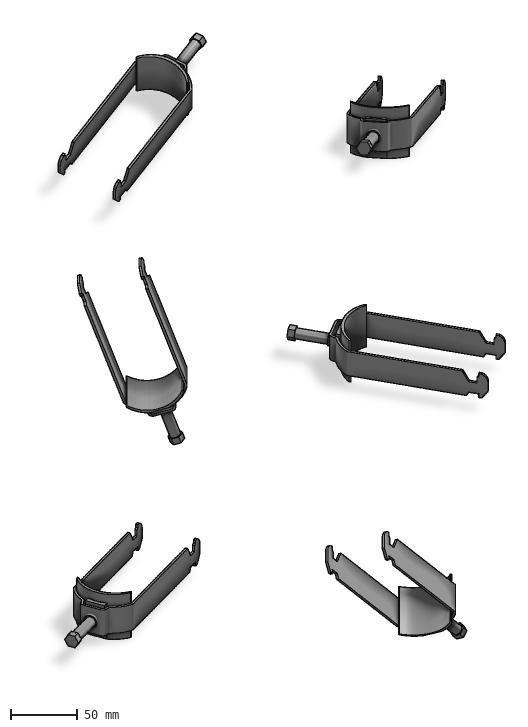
import cadquery as cq
import math

TOTAL_LENGTH = 163.0

STRAP_SPAN = 51.0
STRAP_DEPTH = 23.0
STRAP_THICK = 2.0
CROWN_Y = 129.1
CROWN_BEND_HALF_WIDTH = 7.2
RAMP_ANGLE = 75.0
DOME_RADIUS = 29.0
DOME_CENTRE_Y = 96.5
BEND_INNER_RADIUS = 2.0
BEND_OUTER_RADIUS = BEND_INNER_RADIUS + STRAP_THICK

COLLAR_DIA = 10.6
COLLAR_HEIGHT = 2.3
COLLAR_FILLET = 0.8

HOOK_BACK_Y = 7.2
HOOK_TIP_Y = 4.7
HOOK_NOSE_HALF = 4.4
NOSE_MID_Y = 1.6
NOSE_MID_Z = 9.1
HOOK_STEP_Y = 8.6
HOOK_STEP_Z = 7.3
NECK_Y = 15.0
NECK_TOP = 2.3
NECK_BOTTOM = -8.0
UPPER_NOTCH_Y = 20.2
LOWER_NOTCH_Y = 16.8

SADDLE_HEIGHT = 40.0
SADDLE_RAISE = 0.5
SADDLE_SPAN = 45.8
SADDLE_THICK = 2.6
SADDLE_RADIUS = 28.7
SADDLE_PEAK_Y = 121.1
SADDLE_END_Y = 108.2

BLOCK_WIDTH = 16.3
BLOCK_BASE_Y = 120.0
BLOCK_TOP_Y = 124.0
BLOCK_RISE = 1.0

SHANK_DIA = 8.6
HEAD_CORNER_DIA = 11.7
HEAD_THICK = 5.5
TIP_GAP = 0.3

MARGIN = 0.2


def box(x0, x1, y0, y1, z0, z1):
    return cq.Workplane("XY").box(x1 - x0, y1 - y0, z1 - z0, centered=False).translate((x0, y0, z0))


def y_cylinder(dia, y0, y1):
    return cq.Workplane("XZ", origin=(0, y1, 0)).circle(dia / 2).extrude(y1 - y0)


def z_disc(radius, centre_y, height):
    return cq.Workplane("XY").center(0, centre_y).circle(radius).extrude(height / 2, both=True)


def strap_envelope(inset, convex_radius, concave_radius):
    """Solid inside the strap's outer face, shrunk by inset, with its bends rounded."""
    half_span = STRAP_SPAN / 2 - inset
    radius = DOME_RADIUS - inset
    crown_y = CROWN_Y - inset
    half_depth = STRAP_DEPTH / 2

    dome = z_disc(radius, DOME_CENTRE_Y, STRAP_DEPTH).intersect(
        box(-half_span, half_span, DOME_CENTRE_Y, CROWN_Y, -half_depth, half_depth)
    )
    legs = box(-half_span, half_span, 0, DOME_CENTRE_Y, -half_depth, half_depth)

    ramp = math.radians(RAMP_ANGLE)
    crown_half = CROWN_BEND_HALF_WIDTH + (BEND_OUTER_RADIUS - inset) * math.tan(ramp / 2)
    base_half = crown_half + (crown_y - DOME_CENTRE_Y) / math.tan(ramp)
    crown = (
        cq.Workplane("XY")
        .polyline([
            (-base_half, DOME_CENTRE_Y),
            (base_half, DOME_CENTRE_Y),
            (crown_half, crown_y),
            (-crown_half, crown_y),
        ])
        .close()
        .extrude(half_depth, both=True)
    )
    envelope = legs.union(dome).union(crown)

    shoulder_y = DOME_CENTRE_Y + math.sqrt(radius**2 - half_span**2)

    def bends(y_low, y_high):
        return cq.selectors.BoxSelector(
            (-STRAP_SPAN, y_low, -half_depth), (STRAP_SPAN, y_high, half_depth)
        )

    for bend_y in (crown_y, shoulder_y):
        convex_corners = bends(bend_y - MARGIN, bend_y + MARGIN)
        envelope = envelope.edges("|Z").edges(convex_corners).fillet(convex_radius)
    foot = bends(shoulder_y + convex_radius, crown_y - convex_radius)
    return envelope.edges("|Z").edges(foot).fillet(concave_radius)


def side_profile():
    """Prism of the strap's side outline, with the neck and hook at the leg ends."""
    top = STRAP_DEPTH / 2
    return (
        cq.Workplane("YZ")
        .moveTo(CROWN_Y, top)
        .lineTo(UPPER_NOTCH_Y, top)
        .lineTo(NECK_Y, NECK_TOP)
        .lineTo(HOOK_STEP_Y, NECK_TOP)
        .lineTo(HOOK_STEP_Y, HOOK_STEP_Z)
        .lineTo(HOOK_BACK_Y, HOOK_STEP_Z + HOOK_STEP_Y - HOOK_BACK_Y)
        .lineTo(HOOK_BACK_Y, top)
        .lineTo(HOOK_TIP_Y, top)
        .threePointArc((NOSE_MID_Y, NOSE_MID_Z), (0, HOOK_NOSE_HALF))
        .lineTo(0, -HOOK_NOSE_HALF)
        .lineTo(HOOK_TIP_Y, -top)
        .lineTo(HOOK_BACK_Y, -top)
        .lineTo(HOOK_BACK_Y, NECK_BOTTOM)
        .lineTo(NECK_Y, NECK_BOTTOM)
        .lineTo(LOWER_NOTCH_Y, -top)
        .lineTo(CROWN_Y, -top)
        .close()
        .extrude(STRAP_SPAN, both=True)
    )


def make_strap():
    outer = strap_envelope(0, BEND_OUTER_RADIUS, BEND_INNER_RADIUS)
    inner = strap_envelope(STRAP_THICK, BEND_INNER_RADIUS, BEND_OUTER_RADIUS)
    strap = outer.cut(inner).intersect(side_profile())
    strap = strap.union(y_cylinder(COLLAR_DIA, CROWN_Y - STRAP_THICK / 2, CROWN_Y + COLLAR_HEIGHT))
    reach = COLLAR_DIA / 2 + MARGIN
    at_base = cq.selectors.BoxSelector(
        (-reach, CROWN_Y - MARGIN, -reach), (reach, CROWN_Y + MARGIN, reach), boundingbox=True
    )
    strap = strap.edges(at_base).fillet(COLLAR_FILLET)
    return strap.cut(y_cylinder(SHANK_DIA, BLOCK_TOP_Y, TOTAL_LENGTH))


def make_block():
    half = BLOCK_WIDTH / 2
    return box(-half, half, BLOCK_BASE_Y, BLOCK_TOP_Y, -STRAP_DEPTH / 2, STRAP_DEPTH / 2 + BLOCK_RISE)


def make_saddle():
    half = SADDLE_SPAN / 2
    z0 = SADDLE_RAISE - SADDLE_HEIGHT / 2
    z1 = SADDLE_RAISE + SADDLE_HEIGHT / 2
    centre_y = SADDLE_PEAK_Y - SADDLE_RADIUS
    crescent = z_disc(SADDLE_RADIUS, centre_y, SADDLE_HEIGHT).cut(
        z_disc(SADDLE_RADIUS, centre_y - SADDLE_THICK, SADDLE_HEIGHT)
    )
    saddle = crescent.translate((0, 0, SADDLE_RAISE)).intersect(
        box(-half, half, SADDLE_END_Y, SADDLE_PEAK_Y, z0, z1)
    )
    seat = box(-half, half, BLOCK_BASE_Y, BLOCK_TOP_Y, z0, STRAP_DEPTH / 2 + BLOCK_RISE)
    return saddle.cut(seat)


def make_bolt():
    head = (
        cq.Workplane("XZ", origin=(0, TOTAL_LENGTH, 0))
        .polygon(6, HEAD_CORNER_DIA)
        .extrude(HEAD_THICK)
    )
    return head.union(y_cylinder(SHANK_DIA, BLOCK_TOP_Y + TIP_GAP, TOTAL_LENGTH - HEAD_THICK))


strap = make_strap()
saddle = make_saddle()
block = make_block()
bolt = make_bolt()

result = cq.Compound.makeCompound([strap.val(), saddle.val(), block.val(), bolt.val()])